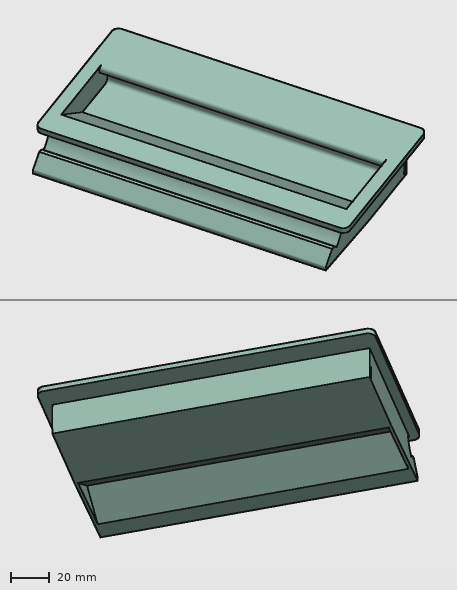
import cadquery as cq
import math

plate_length = 182.0
plate_depth = 91.0
plate_thickness = 3.3
plate_corner_radius = 4.0

body_length = 171.0
body_front = 5.5
body_back = plate_depth - 12.0
total_height = 22.5
body_bottom = -total_height
ramp_start = 36.4

neck_radius = 2.0
groove_top = -5.3
groove_mid_y = 3.0
groove_mid_z = -9.6
valley_y = -0.7
valley_z = -13.3
ridge_mid_y = -3.3
ridge_mid_z = -11.1
ridge_front_y = -5.6
ridge_front_z = -10.7
nose_tip = -13.0
nose_top = -17.7
nose_bottom = -20.0
nose_radius = 1.5

pocket_length = 166.5
pocket_front = 15.0
pocket_back = 60.0
pocket_depth = 16.2
floor_front = 39.0
floor_back = 64.8
round_radius = 2.0
lip_thickness = 3.6

end_wall = 1.8
recess_front = -5.5
recess_top = -11.0

slot_width = 1.3
slot_height = 6.5
slot_wall = 1.8
slot_floor = 1.8

COS_45 = math.sqrt(0.5)


def side_profile():
    """YZ sketch plane whose extrusion runs along x."""
    return cq.Workplane("YZ")


def make_plate():
    plate = cq.Workplane("XY").box(
        plate_length, plate_depth, plate_thickness, centered=(True, False, False)
    )
    plate = plate.translate((0, 0, -plate_thickness))
    return plate.edges("|Z").fillet(plate_corner_radius)


def make_body():
    neck_shift = neck_radius * (1 - COS_45)
    body = (
        side_profile()
        .moveTo(body_back, -plate_thickness)
        .lineTo(body_back, body_bottom)
        .lineTo(ramp_start, body_bottom)
        .lineTo(nose_tip, nose_bottom)
        .lineTo(nose_tip, nose_top)
        .lineTo(ridge_front_y, ridge_front_z)
        .threePointArc((ridge_mid_y, ridge_mid_z), (valley_y, valley_z))
        .threePointArc((groove_mid_y, groove_mid_z), (body_front, groove_top))
        .threePointArc(
            (body_front - neck_shift, -plate_thickness - neck_shift),
            (body_front - neck_radius, -plate_thickness),
        )
        .close()
        .extrude(body_length / 2, both=True)
    )
    upper_nose_edge = cq.NearestToPointSelector((0, nose_tip, nose_top))
    return body.edges("|X").edges(upper_nose_edge).fillet(nose_radius)


def make_pocket():
    """Cavity with a sloped front, a flat floor and an undercut below the rear lip."""
    lip_face = pocket_back - round_radius
    rear_wall = floor_back + round_radius
    corner_shift = round_radius * (1 - COS_45)
    return (
        side_profile()
        .moveTo(pocket_front, 0)
        .lineTo(floor_front, -pocket_depth)
        .lineTo(floor_back, -pocket_depth)
        .threePointArc(
            (rear_wall - corner_shift, -pocket_depth + corner_shift),
            (rear_wall, -pocket_depth + round_radius),
        )
        .lineTo(rear_wall, -lip_thickness)
        .lineTo(lip_face, -lip_thickness)
        .lineTo(lip_face, -round_radius)
        .threePointArc(
            (lip_face + corner_shift, -corner_shift), (pocket_back, 0)
        )
        .close()
        .extrude(pocket_length / 2, both=True)
    )


def make_recess():
    """Underside recess whose rear face is parallel to the sloped pocket front."""
    run_per_drop = (floor_front - pocket_front) / pocket_depth
    apex_y = ramp_start - (recess_top - body_bottom) * run_per_drop
    return (
        side_profile()
        .moveTo(ramp_start, body_bottom)
        .lineTo(apex_y, recess_top)
        .lineTo(recess_front, body_bottom)
        .close()
        .extrude(body_length / 2 - end_wall, both=True)
    )


def make_slot():
    slot = cq.Workplane("XY").box(
        body_length, slot_width, slot_height, centered=(True, False, False)
    )
    return slot.translate(
        (0, body_back - slot_wall - slot_width, body_bottom + slot_floor)
    )


result = (
    make_plate()
    .union(make_body())
    .cut(make_pocket())
    .cut(make_recess())
    .cut(make_slot())
)